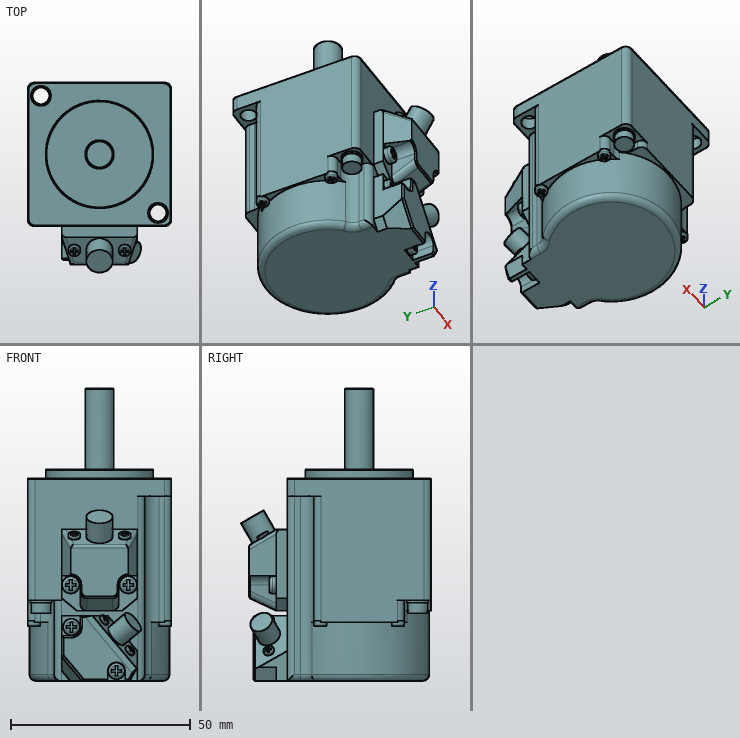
import math

import cadquery as cq


shaft_diameter = 8.0
shaft_length = 25.0
shaft_chamfer = 0.4
pilot_diameter = 30.0
pilot_height = 2.5
pilot_chamfer = 0.3
flange_thickness = 5.0
mount_circle_diameter = 46.0
mount_hole_diameter = 4.6
mount_sink_diameter = 5.6
mount_offset = mount_circle_diameter / 2 / math.sqrt(2)

body_width = 40.0
half_width = body_width / 2
corner_radius = 2.0
top_edge_chamfer = 0.3
body_bottom = -36.9
short_relief_top = -34.0

relief_radius = 3.8
relief_center = 16.4
relief_wall = relief_center - relief_radius
relief_lead = relief_wall - corner_radius

cover_bottom = -56.4
cover_radius = 19.5
cover_edge_radius = 1.9
cover_block_half_width = 13.9
ear_bottom = -40.1
ear_reach = 14.0
ear_screw_x = 18.2
ear_screw_y = 10.8
ear_screw_diameter = 3.6
ear_screw_height = 1.1

corner_head_diameter = 5.5
corner_head_height = 3.6
corner_washer_diameter = 6.0
corner_washer_height = 0.7

connector_half_width = 10.5
connector_floor = -23.0
connector_back = 3.0 - half_width
panel_screw_height = 0.9

head_round_ratio = 0.4
slot_length_ratio = 0.6
slot_width_ratio = 0.16
slot_depth_ratio = 0.5

beyond = 30.0
overlap = 1.0

upper_top = -14.3
upper_front = -30.66
upper_front_half_width = 8.0
upper_tilt = 30.0
upper_normal = (0, -math.sin(math.radians(upper_tilt)), math.cos(math.radians(upper_tilt)))
upper_nose_bottom = -33.3
upper_nose_slope = (upper_nose_bottom - body_bottom) / (connector_floor - upper_front)
upper_edge_radius = 1.2
upper_corner_cut_x = 4.3
upper_corner_cut_z = 3.5
upper_screw_x = 8.0
upper_screw_z = -29.7
upper_screw_diameter = 4.8
upper_screw_height = 2.0
upper_recess_radius = 2.6
upper_recess_rim = 0.4
upper_tongue_radius = 1.9
upper_cable_diameter = 7.3
upper_cable_length = 6.4
upper_cable_end_y = -29.69
upper_panel_screw_spacing = 14.0
upper_panel_screw_diameter = 3.4

lower_top = -38.2
lower_front = -29.4
lower_turn = 40.0
lower_tilt = 20.0
lower_across = cq.Vector(math.cos(math.radians(lower_turn)), 0, math.sin(math.radians(lower_turn)))
lower_along = cq.Vector(lower_across.z, 0, -lower_across.x)
lower_slope_origin = (6.34, -half_width, -43.1)
lower_rim = 0.5
lower_slope_rim_width = 1.66
lower_cut_base_u = -42.45
lower_cut_front_u = -39.8
lower_end_top = (connector_half_width, -52.6)
lower_end_bottom = (8.4, cover_bottom)
lower_screw_diameter = 4.6
lower_screw_height = 1.7
lower_left_screw = (-7.8, -41.4)
lower_left_recess_radius = 2.45
lower_right_screw = (4.7, -53.6)
lower_right_recess_radius = 2.4
lower_cable_diameter = 6.5
lower_cable_length = 6.46
lower_cable_base = (4.65, -24.99, -43.9)
lower_panel_screw_spacing = 11.1
lower_panel_screw_diameter = 3.0


def box(x_range, y_range, z_range):
    """Box between pairs of limits along X, Y and Z."""
    size = [high - low for low, high in (x_range, y_range, z_range)]
    low_corner = (x_range[0], y_range[0], z_range[0])
    return cq.Workplane("XY").box(*size, centered=False).translate(low_corner)


def rod(base, direction, diameter, length):
    """Cylinder that starts at base and runs along direction."""
    return cq.Workplane(cq.Plane(base, normal=direction)).circle(diameter / 2).extrude(length)


def farthest(direction):
    """Selector of the face that lies farthest along direction."""
    return cq.selectors.DirectionMinMaxSelector(cq.Vector(*direction))


def front_prism(points, y_back, y_front):
    """Prism of an XZ outline, running from y_back toward -Y."""
    plane = cq.Plane((0, y_back, 0), xDir=(1, 0, 0), normal=(0, -1, 0))
    return cq.Workplane(plane).polyline(points).close().extrude(y_back - y_front)


def cross_screw(base, direction, across, diameter, height):
    """Pan head screw with a cross recess, seated at base; across sets the cross direction."""
    plane = cq.Plane(base, xDir=across, normal=direction)
    head = cq.Workplane(plane).workplane(offset=-overlap / 2)
    head = head.circle(diameter / 2).extrude(height + overlap / 2)
    head = head.faces(farthest(direction)).edges().fillet(head_round_ratio * height)
    slot_length = slot_length_ratio * diameter
    slot_width = slot_width_ratio * diameter
    slots = cq.Workplane(plane).workplane(offset=height * (1 - slot_depth_ratio))
    for length, width in ((slot_length, slot_width), (slot_width, slot_length)):
        head = head.cut(slots.rect(length, width).extrude(height))
    return head


def add_cable(body, base, normal, along, diameter, length, screw_spacing, screw_diameter):
    """Add a cable stub standing at base and, to both sides along the face, its clamp screws."""
    start = base - normal * overlap
    body = body.union(rod(start.toTuple(), normal.toTuple(), diameter, length + overlap))
    for sign in (-1, 1):
        seat = base + along * (sign * screw_spacing / 2)
        screw = cross_screw(
            seat.toTuple(), normal.toTuple(), along.toTuple(), screw_diameter, panel_screw_height
        )
        body = body.union(screw)
    return body


def relief_cutter(sign_x, sign_y, z_low, z_high):
    """Material removed at one corner of the square: fillets lead into a quarter round wall."""
    far = half_width + overlap
    lead_end = half_width - corner_radius
    diagonal = math.cos(math.pi / 4)
    mid = relief_center - relief_radius * diagonal
    bulge = corner_radius * (1 - diagonal)
    near_lead = relief_lead + corner_radius * diagonal
    outline = (
        cq.Workplane("XY", origin=(0, 0, z_low))
        .moveTo(half_width, relief_lead)
        .threePointArc((half_width - bulge, near_lead), (lead_end, relief_wall))
        .lineTo(relief_center, relief_wall)
        .threePointArc((mid, mid), (relief_wall, relief_center))
        .lineTo(relief_wall, lead_end)
        .threePointArc((near_lead, half_width - bulge), (relief_lead, half_width))
        .lineTo(relief_lead, far)
        .lineTo(far, far)
        .lineTo(far, relief_lead)
        .close()
    )
    cutter = outline.extrude(z_high - z_low)
    if sign_x < 0:
        cutter = cutter.mirror("YZ")
    if sign_y < 0:
        cutter = cutter.mirror("XZ")
    return cutter


def make_housing():
    housing = box((-half_width, half_width), (-half_width, half_width), (body_bottom, 0))
    housing = housing.edges("|Z").fillet(corner_radius)
    housing = housing.faces(">Z").edges().chamfer(top_edge_chamfer)
    holes = cq.Workplane("XY").pushPoints([(-mount_offset, mount_offset), (mount_offset, -mount_offset)])
    sink_depth = (mount_sink_diameter - mount_hole_diameter) / 2
    for sign in (-1, 1):
        housing = housing.cut(relief_cutter(sign, -sign, body_bottom, -flange_thickness))
        housing = housing.cut(relief_cutter(sign, sign, body_bottom, short_relief_top))
    housing = housing.cut(holes.circle(mount_hole_diameter / 2).extrude(-flange_thickness))
    for sign in (-1, 1):
        sink = cq.Solid.makeCone(
            mount_hole_diameter / 2,
            mount_sink_diameter / 2,
            sink_depth,
            pnt=cq.Vector(sign * mount_offset, -sign * mount_offset, -sink_depth),
        )
        housing = housing.cut(cq.Workplane(sink))
    return housing


def make_shaft():
    pilot = cq.Workplane("XY").circle(pilot_diameter / 2).extrude(pilot_height)
    pilot = pilot.faces(">Z").edges().chamfer(pilot_chamfer)
    shaft = cq.Workplane("XY").circle(shaft_diameter / 2).extrude(shaft_length)
    shaft = shaft.faces(">Z").edges().chamfer(shaft_chamfer)
    return pilot.union(shaft)


def make_cover():
    height = body_bottom - cover_bottom
    start = cq.Workplane("XY", origin=(0, 0, cover_bottom))
    cover = start.circle(cover_radius).extrude(height)
    block_half_width = cover_block_half_width
    front = box((-block_half_width, block_half_width), (-half_width, 0), (cover_bottom, body_bottom))
    cover = cover.union(front)
    for sign in (-1, 1):
        center = (sign * relief_center, -relief_center, cover_bottom)
        cover = cover.cut(rod(center, (0, 0, 1), 2 * relief_radius, height))
        outside = sorted((sign * relief_wall, sign * half_width))
        cover = cover.cut(box(outside, (-half_width, -relief_center), (cover_bottom, body_bottom)))
    cover = cover.faces("<Z").edges("not <Y").fillet(cover_edge_radius)
    for sign in (-1, 1):
        cover = cover.cut(relief_cutter(sign, -1, cover_bottom, body_bottom))

    ears = box((-half_width, half_width), (-ear_reach, ear_reach), (ear_bottom, body_bottom))
    for sign_x in (-1, 1):
        for sign_y in (-1, 1):
            ears = ears.cut(relief_cutter(sign_x, sign_y, ear_bottom, body_bottom))
            seat = (sign_x * ear_screw_x, sign_y * ear_screw_y, ear_bottom)
            screw = cross_screw(seat, (0, 0, -1), (1, 0, 0), ear_screw_diameter, ear_screw_height)
            cover = cover.union(screw)
    return cover.union(ears)


def make_corner_screws():
    screws = cq.Workplane("XY")
    for sign in (-1, 1):
        seat = (sign * mount_offset, sign * mount_offset, short_relief_top)
        screws = screws.union(rod(seat, (0, 0, -1), corner_washer_diameter, corner_washer_height))
        screws = screws.union(rod(seat, (0, 0, -1), corner_head_diameter, corner_head_height))
    return screws


def make_upper_shell():
    """Wedge with a sloped top, tapered flanks and a sloped nose; both ends are left oversize."""
    slope = math.tan(math.radians(upper_tilt))
    taper = (connector_half_width - upper_front_half_width) / (connector_floor - upper_front)
    back_half_width = connector_half_width + (connector_back - connector_floor) * taper
    plan = [
        (back_half_width, connector_back),
        (upper_front_half_width, upper_front),
        (-upper_front_half_width, upper_front),
        (-back_half_width, connector_back),
    ]
    profile = [
        (connector_back, upper_top + (connector_back - connector_floor) * slope),
        (upper_front, upper_top + (upper_front - connector_floor) * slope),
        (upper_front, upper_nose_bottom),
        (connector_back, upper_nose_bottom - (connector_back - upper_front) * upper_nose_slope),
    ]
    shell = cq.Workplane("XY", origin=(0, 0, -2 * beyond)).polyline(plan).close().extrude(2 * beyond)
    side = cq.Workplane("YZ").polyline(profile).close().extrude(beyond, both=True)
    shell = shell.intersect(side)
    return shell.faces(farthest(upper_normal)).edges("not >Y").fillet(upper_edge_radius)


def cut_screw_recesses(cap):
    """Cut both screw recesses, leaving a tongue with rounded lower corners between them."""
    tongue_half_width = upper_screw_x - upper_recess_radius
    recess_top = upper_screw_z + upper_recess_radius
    for sign in (-1, 1):
        seat = (sign * upper_screw_x, 0, upper_screw_z)
        cap = cap.cut(rod(seat, (0, -1, 0), 2 * upper_recess_radius, 2 * beyond))
        beside = sorted((sign * tongue_half_width, sign * beyond))
        cap = cap.cut(box(beside, (-2 * beyond, 0), (-2 * beyond, upper_screw_z)))
        outward = sorted((sign * upper_screw_x, sign * beyond))
        cap = cap.cut(box(outward, (-2 * beyond, 0), (-2 * beyond, recess_top)))
    nose_normal = (0, -upper_nose_slope, -1)
    cap = cap.faces(farthest(nose_normal)).edges("not |X").fillet(upper_tongue_radius)
    rim_top = recess_top + upper_recess_rim
    rim_zone = cq.selectors.BoxSelector((-beyond, -2 * beyond, -2 * beyond), (beyond, 0, rim_top))
    return cap.faces("<Y").edges(rim_zone).chamfer(upper_recess_rim)


def make_upper_connector():
    shell = make_upper_shell()
    width_range = (-connector_half_width, connector_half_width)
    height_range = (body_bottom, upper_top)
    base = shell.intersect(box(width_range, (connector_floor, connector_back), height_range))
    for sign in (-1, 1):
        corner = [
            (sign * connector_half_width, body_bottom),
            (sign * (connector_half_width - upper_corner_cut_x), body_bottom),
            (sign * connector_half_width, body_bottom + upper_corner_cut_z),
        ]
        base = base.cut(front_prism(corner, connector_back, connector_floor))
    cap = cut_screw_recesses(shell)
    cap = cap.intersect(box(width_range, (-2 * beyond, connector_floor), height_range))
    connector = base.union(cap)
    for sign in (-1, 1):
        seat = (sign * upper_screw_x, connector_floor, upper_screw_z)
        screw = cross_screw(seat, (0, -1, 0), (1, 0, 0), upper_screw_diameter, upper_screw_height)
        connector = connector.union(screw)

    tilt = math.radians(upper_tilt)
    cable_base_y = upper_cable_end_y + upper_cable_length * math.sin(tilt)
    cable_base_z = upper_top + (cable_base_y - connector_floor) * math.tan(tilt)
    return add_cable(
        connector,
        cq.Vector(0, cable_base_y, cable_base_z),
        cq.Vector(*upper_normal),
        cq.Vector(1, 0, 0),
        upper_cable_diameter,
        upper_cable_length,
        upper_panel_screw_spacing,
        upper_panel_screw_diameter,
    )


def diagonal_prism(points):
    """Prism running along the lower slope, from an outline of (place along lower_across, Y) points."""
    plane = cq.Plane((0, 0, 0), xDir=lower_across.toTuple(), normal=(lower_along * -1).toTuple())
    return cq.Workplane(plane).polyline(points).close().extrude(3 * beyond, both=True)


def cut_lower_corners(block):
    """Cut the sloped corner at the lower left and the end of the cap at the lower right."""
    corner_cut = [
        (lower_cut_base_u, -half_width),
        (lower_cut_base_u, connector_floor),
        (lower_cut_front_u, lower_front),
        (lower_cut_front_u, lower_front - overlap),
        (-2 * beyond, lower_front - overlap),
        (-2 * beyond, -half_width),
    ]
    block = block.cut(diagonal_prism(corner_cut))
    end_cut = [lower_end_top, lower_end_bottom, (beyond, cover_bottom), (beyond, lower_end_top[1])]
    return block.cut(front_prism(end_cut, connector_floor, lower_front))


def cut_left_pocket(block):
    """Cut the screw pocket that is open to the left and the top."""
    left_x, left_z = lower_left_screw
    radius = lower_left_recess_radius
    pocket = box((-beyond, left_x + radius), (-beyond, connector_floor), (left_z - radius, 0))
    pocket = pocket.edges("|Y and >X and <Z").fillet(radius)
    return block.cut(pocket)


def cut_slope(block):
    """Cut the sloped cable face, with a flat bevel where it meets the front."""
    slope_x, slope_y, slope_z = lower_slope_origin
    shift = math.tan(math.radians(lower_tilt))
    wall_u = slope_x * lower_across.x + slope_z * lower_across.z
    rim_y = lower_front + lower_rim
    rim_u = wall_u - (slope_y - rim_y) * shift
    front_u = wall_u - (slope_y - lower_front) * shift - lower_slope_rim_width
    slope_cut = [
        (wall_u, slope_y),
        (rim_u, rim_y),
        (front_u, lower_front),
        (front_u, lower_front - overlap),
        (beyond, lower_front - overlap),
        (beyond, slope_y),
    ]
    return block.cut(diagonal_prism(slope_cut))


def cut_right_pocket(block):
    """Cut the arched screw pocket that is open to the bottom."""
    right_x, right_z = lower_right_screw
    radius = lower_right_recess_radius
    block = block.cut(rod((right_x, connector_floor, right_z), (0, -1, 0), 2 * radius, beyond))
    width_range = (right_x - radius, right_x + radius)
    return block.cut(box(width_range, (-beyond, connector_floor), (-2 * beyond, right_z)))


def make_lower_connector():
    width_range = (-connector_half_width, connector_half_width)
    block = box(width_range, (lower_front, connector_back), (cover_bottom, lower_top))
    block = cut_lower_corners(block)
    block = cut_left_pocket(block)
    block = block.faces("<Y").edges().chamfer(lower_rim)
    block = cut_slope(block)
    block = cut_right_pocket(block)
    for x, z in (lower_left_screw, lower_right_screw):
        seat = (x, connector_floor, z)
        screw = cross_screw(seat, (0, -1, 0), (1, 0, 0), lower_screw_diameter, lower_screw_height)
        block = block.union(screw)

    tilt = math.radians(lower_tilt)
    normal = lower_across * math.cos(tilt) + cq.Vector(0, -math.sin(tilt), 0)
    return add_cable(
        block,
        cq.Vector(*lower_cable_base),
        normal,
        lower_along,
        lower_cable_diameter,
        lower_cable_length,
        lower_panel_screw_spacing,
        lower_panel_screw_diameter,
    )


result = (
    make_housing()
    .union(make_shaft())
    .union(make_cover())
    .union(make_corner_screws())
    .union(make_upper_connector())
    .union(make_lower_connector())
)